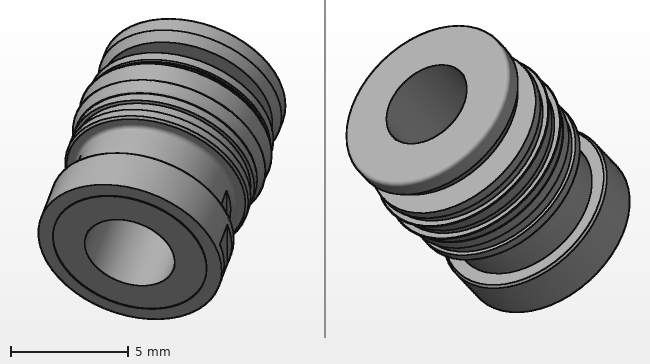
import cadquery as cq

length = 10.13
y_rear = length / 2
bore_radius = 2.0
body_radius = 4.06
root_fillet = 0.18

flange_edge_fillet = 0.18
flange_taper_start = 0.79
flange_end = 1.25
flange_taper_radius = 3.79
rear_groove_radius = 2.52

rear_collar_start = 2.19
rear_collar_end = 2.66
rear_collar_radius = 4.1
rear_collar_chamfer = 0.06
land_radius = 3.98
lip_tip_diameter = 8.54
lip_tip_radius = lip_tip_diameter / 2
lip_edge_length = 0.03
rear_lip_start = 2.99
rear_lip_end = 3.76
front_lip_start = 3.96
front_lip_end = 4.46
front_lip_root_radius = 4.09
front_relief_end = 4.57
front_relief_radius = 4.02
ring_groove_start = 5.01
ring_groove_end = 5.57
ring_groove_radius = 3.91
ring_groove_wall_slope = 0.03
ring_end = 6.05
edge_chamfer = 0.1

neck_radius = 3.44
neck_taper_start = 7.09
neck_taper_end = 7.9
neck_front_radius = 3.38
front_collar_start = 8.08
end_pad_height = 0.04
end_pad_radius = 3.4

recess_length = 1.16
neck_recess_start = 6.52
neck_recess_floor = 3.26
collar_recess_start = 8.53
collar_recess_floor = 3.87


def at(radius, station):
    """Profile point at a radius and a distance from the rear end."""
    return (radius, y_rear - station)


def root_arc(profile, wall_station, radius):
    """Concave quarter round from a flat wall onto the cylinder in front of it."""
    diagonal = root_fillet * (1 - 0.5 ** 0.5)
    return profile.lineTo(*at(radius + root_fillet, wall_station)).threePointArc(
        at(radius + diagonal, wall_station + diagonal),
        at(radius, wall_station + root_fillet),
    )


def add_lip(profile, start, end, root_radius):
    """Barbed lip: steep rear wall with a narrow bevel, tapering toward the front."""
    profile = profile.lineTo(*at(land_radius, start))
    profile = profile.lineTo(*at(lip_tip_radius - lip_edge_length, start))
    profile = profile.lineTo(*at(lip_tip_radius, start + lip_edge_length))
    return profile.lineTo(*at(root_radius, end))


def turned_body():
    """Revolve the complete bored section about Y."""
    fillet_diagonal = flange_edge_fillet * (1 - 0.5 ** 0.5)
    profile = cq.Workplane("XY").moveTo(*at(bore_radius, 0))

    profile = profile.lineTo(*at(body_radius - flange_edge_fillet, 0))
    profile = profile.threePointArc(
        at(body_radius - fillet_diagonal, fillet_diagonal),
        at(body_radius, flange_edge_fillet),
    )
    profile = profile.lineTo(*at(body_radius, flange_taper_start))
    profile = profile.lineTo(*at(flange_taper_radius, flange_end))
    profile = root_arc(profile, flange_end, rear_groove_radius)

    profile = profile.lineTo(*at(rear_groove_radius, rear_collar_start))
    profile = profile.lineTo(*at(rear_collar_radius, rear_collar_start))
    profile = profile.lineTo(*at(rear_collar_radius, rear_collar_end - rear_collar_chamfer))
    profile = profile.lineTo(*at(rear_collar_radius - rear_collar_chamfer, rear_collar_end))
    profile = profile.lineTo(*at(land_radius, rear_collar_end))
    profile = add_lip(profile, rear_lip_start, rear_lip_end, land_radius)
    profile = add_lip(profile, front_lip_start, front_lip_end, front_lip_root_radius)

    profile = profile.lineTo(*at(front_relief_radius, front_relief_end))
    profile = profile.lineTo(*at(body_radius, front_relief_end))
    profile = profile.lineTo(*at(body_radius, ring_groove_start))
    profile = profile.lineTo(*at(ring_groove_radius, ring_groove_start + ring_groove_wall_slope))
    profile = profile.lineTo(*at(ring_groove_radius, ring_groove_end - ring_groove_wall_slope))
    profile = profile.lineTo(*at(body_radius, ring_groove_end))
    profile = profile.lineTo(*at(body_radius, ring_end - edge_chamfer))
    profile = profile.lineTo(*at(body_radius - edge_chamfer, ring_end))
    profile = root_arc(profile, ring_end, neck_radius)

    profile = profile.lineTo(*at(neck_radius, neck_taper_start))
    profile = profile.lineTo(*at(neck_front_radius, neck_taper_end))
    profile = profile.lineTo(*at(neck_front_radius, front_collar_start))

    profile = profile.lineTo(*at(body_radius - edge_chamfer, front_collar_start))
    profile = profile.lineTo(*at(body_radius, front_collar_start + edge_chamfer))
    profile = profile.lineTo(*at(body_radius, length - end_pad_height))
    profile = profile.lineTo(*at(end_pad_radius, length - end_pad_height))
    profile = profile.lineTo(*at(end_pad_radius, length))
    profile = profile.lineTo(*at(bore_radius, length))
    return profile.close().revolve(360, (0, 0, 0), (0, 1, 0))


def recess_cutter(start, floor_x):
    """Block that removes everything outside a flat floor on the +X side."""
    return cq.Workplane("XY").box(
        body_radius, recess_length, 2 * body_radius, centered=(False, True, True)
    ).translate((floor_x, y_rear - start - recess_length / 2, 0))


result = (
    turned_body()
    .cut(recess_cutter(neck_recess_start, neck_recess_floor))
    .cut(recess_cutter(collar_recess_start, collar_recess_floor))
)